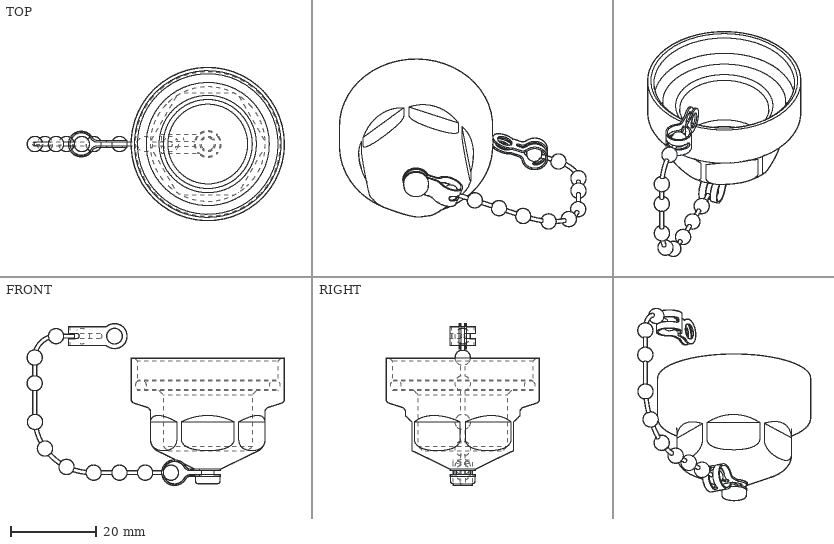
import cadquery as cq
import math


CAP_TOP = 26.0
FLANGE_RADIUS = 18.0
FLANGE_EDGE_Z = 15.65
BODY_RADIUS = 13.45
NECK_Z = 14.2
FLANGE_FILLET = 0.95
TIP_RADIUS = 3.15
CONE_ANGLE = 26
CONE_TOP_Z = (BODY_RADIUS - TIP_RADIUS) * math.tan(math.radians(CONE_ANGLE))
CONE_FILLET = 3

FLAT_COUNT = 6
FLAT_DISTANCE = 11.95
FLAT_TOP_Z = 11.05
FLAT_CUT_CLEARANCE = 0.6

MOUTH_RADIUS = 16.5
MOUTH_CHAMFER = 0.7
SEAT_Z = 18.35
BORE_RADIUS = 10.45
BORE_CHAMFER = 0.95
BORE_FLOOR_Z = 4.2
FLOOR_CHAMFER = 1.1

GASKET_RING_RADIUS = 15.7
GASKET_WIRE_RADIUS = 1.25

STRIP_THICKNESS = 0.4
STRIP_WIDTH = 4.45
LOOP_RADIUS = 3
LEG_GAP = 0.9
BEND_RADIUS = 1.5
LOOP_TO_EYE = 7.8
EYE_RADIUS = 2.95
EYE_HOLE_RADIUS = 1.8
SLOT_WIDTH = 1.2
SLOT_SHORT_END = -0.5
SLOT_LONG_END = 4.85
CLAMP_HEIGHT = LEG_GAP + 2 * STRIP_THICKNESS

RIVET_SHANK_RADIUS = 1.5
RIVET_HEAD_RADIUS = 2.9
RIVET_HEAD_HEIGHT = 1.75
RIVET_HEAD_FILLET = 0.6

BALL_RADIUS = 1.8
BALL_PITCH = 6.05
WIRE_RADIUS = 0.5
CHAIN_LEFT_X = -40.6
CHAIN_BOTTOM_Z = -CLAMP_HEIGHT / 2
CHAIN_TOP_Z = 31.15
LOWER_END_X = -8.65
LOWER_ROW_BALLS = 4
LOWER_BEND_RADIUS = 13.3
UPPER_BEND_RADIUS = 5.0
LOWER_BEND_BALLS = 3
LOWER_BEND_FIRST_ANGLE = 6
LOWER_BEND_STEP_ANGLE = 29
UPPER_CLAMP_EYE_X = -21.85


HEIGHT_TOLERANCE = 0.005


def fillet_ring(body, z, radius):
    """Round the circular edges of a revolved body that lie at height z."""
    ring = [edge for edge in body.Edges() if abs(edge.Center().z - z) < HEIGHT_TOLERANCE]
    return body.fillet(radius, ring)


def make_cap_outside():
    outline = [
        (0, 0),
        (TIP_RADIUS, 0),
        (BODY_RADIUS, CONE_TOP_Z),
        (BODY_RADIUS, NECK_Z),
        (FLANGE_RADIUS, FLANGE_EDGE_Z),
        (FLANGE_RADIUS, CAP_TOP),
        (0, CAP_TOP),
    ]
    body = cq.Workplane("XZ").polyline(outline).close().revolve(360, (0, 0), (0, 1)).val()
    body = fillet_ring(body, CONE_TOP_Z, CONE_FILLET)
    body = fillet_ring(body, NECK_Z, FLANGE_FILLET)
    return cq.Workplane(fillet_ring(body, FLANGE_EDGE_Z, FLANGE_FILLET))


def make_cap_inside():
    """The stepped space inside the cap."""
    outline = [
        (0, BORE_FLOOR_Z),
        (BORE_RADIUS - FLOOR_CHAMFER, BORE_FLOOR_Z),
        (BORE_RADIUS, BORE_FLOOR_Z + FLOOR_CHAMFER),
        (BORE_RADIUS, SEAT_Z - BORE_CHAMFER),
        (BORE_RADIUS + BORE_CHAMFER, SEAT_Z),
        (MOUTH_RADIUS, SEAT_Z),
        (MOUTH_RADIUS, CAP_TOP - MOUTH_CHAMFER),
        (MOUTH_RADIUS + MOUTH_CHAMFER, CAP_TOP),
        (0, CAP_TOP),
    ]
    return cq.Workplane("XZ").polyline(outline).close().revolve(360, (0, 0), (0, 1))


def make_flat_cutter():
    """Removes everything outside one flat, the one that faces -Y."""
    depth = BODY_RADIUS - FLAT_DISTANCE + FLAT_CUT_CLEARANCE
    outline = [
        (-FLAT_DISTANCE, 0),
        (-FLAT_DISTANCE, FLAT_TOP_Z),
        (-FLAT_DISTANCE - depth, FLAT_TOP_Z + depth),
        (-FLAT_DISTANCE - depth, 0),
    ]
    return cq.Workplane("YZ").polyline(outline).close().extrude(BODY_RADIUS, both=True)


def make_gasket():
    return (
        cq.Workplane("XZ")
        .center(GASKET_RING_RADIUS, SEAT_Z + GASKET_WIRE_RADIUS)
        .circle(GASKET_WIRE_RADIUS)
        .revolve(360, (-GASKET_RING_RADIUS, 0), (-GASKET_RING_RADIUS, 1))
    )


def make_cap(gasket, clamp):
    """The gasket bulges into the mouth wall and the clamp loop nests into the cone."""
    cap = make_cap_outside().cut(make_cap_inside())
    for index in range(FLAT_COUNT):
        cap = cap.cut(make_flat_cutter().rotate((0, 0, 0), (0, 0, 1), index * 360 / FLAT_COUNT))
    return cap.cut(gasket).cut(clamp)


def clamp_fill(inset):
    """Area inside the strip outline, moved inward by inset; loop centre at the origin, legs to +X."""
    loop = LOOP_RADIUS - inset
    leg_y = CLAMP_HEIGHT / 2 - inset
    bend = BEND_RADIUS - STRIP_THICKNESS / 2 + inset
    bend_y = leg_y + bend
    bend_x = math.sqrt((loop + bend) ** 2 - bend_y**2)
    bend_angle = math.atan2(bend_y, bend_x)
    join_x = loop * math.cos(bend_angle)
    join_y = loop * math.sin(bend_angle)
    middle_angle = (bend_angle + math.pi + 1.5 * math.pi) / 2
    middle_x = bend_x + bend * math.cos(middle_angle)
    middle_y = bend_y + bend * math.sin(middle_angle)
    end_x = LOOP_TO_EYE + EYE_RADIUS
    return (
        cq.Workplane("XY")
        .moveTo(end_x, leg_y)
        .lineTo(bend_x, leg_y)
        .threePointArc((middle_x, middle_y), (join_x, join_y))
        .threePointArc((-loop, 0), (join_x, -join_y))
        .threePointArc((middle_x, -middle_y), (bend_x, -leg_y))
        .lineTo(end_x, -leg_y)
        .close()
        .extrude(EYE_RADIUS, both=True)
    )


def make_slot(end_x, side_y):
    """Wire slot through the half of the loop between Y = 0 and side_y."""
    length = 2 * (LOOP_RADIUS + end_x)
    outline = cq.Workplane("XZ").center(end_x - length / 2, 0).slot2D(length, SLOT_WIDTH)
    return outline.extrude(-side_y)


def make_clamp():
    """Clamp with its eye axis on Y through the origin and its loop axis parallel to Z."""
    strip = clamp_fill(0).cut(clamp_fill(STRIP_THICKNESS))

    strap_length = LOOP_TO_EYE + LOOP_RADIUS
    strap = cq.Workplane("XZ").center(strap_length / 2 - LOOP_RADIUS, 0).rect(strap_length, STRIP_WIDTH)
    eye = cq.Workplane("XZ").center(LOOP_TO_EYE, 0)
    side = strap.extrude(LOOP_RADIUS, both=True)
    side = side.union(eye.circle(EYE_RADIUS).extrude(LOOP_RADIUS, both=True))
    side = side.cut(eye.circle(EYE_HOLE_RADIUS).extrude(LOOP_RADIUS, both=True))
    side = side.cut(make_slot(SLOT_SHORT_END, -LOOP_RADIUS)).cut(make_slot(SLOT_LONG_END, LOOP_RADIUS))
    return strip.intersect(side).translate((-LOOP_TO_EYE, 0, 0))


def make_rivet():
    shank = cq.Workplane("XY").circle(RIVET_SHANK_RADIUS).extrude(-CLAMP_HEIGHT)
    head = (
        cq.Workplane("XY", origin=(0, 0, -CLAMP_HEIGHT))
        .circle(RIVET_HEAD_RADIUS)
        .extrude(-RIVET_HEAD_HEIGHT)
        .faces("<Z")
        .edges()
        .fillet(RIVET_HEAD_FILLET)
    )
    return shank.union(head)


def make_chain():
    lower_bend = (CHAIN_LEFT_X + LOWER_BEND_RADIUS, CHAIN_BOTTOM_Z + LOWER_BEND_RADIUS)
    upper_bend = (CHAIN_LEFT_X + UPPER_BEND_RADIUS, CHAIN_TOP_Z - UPPER_BEND_RADIUS)
    upper_end_x = upper_bend[0] + BALL_PITCH
    diagonal = math.sqrt(0.5)

    path = (
        cq.Workplane("XZ")
        .moveTo(LOWER_END_X, CHAIN_BOTTOM_Z)
        .lineTo(lower_bend[0], CHAIN_BOTTOM_Z)
        .threePointArc(
            (lower_bend[0] - LOWER_BEND_RADIUS * diagonal, lower_bend[1] - LOWER_BEND_RADIUS * diagonal),
            (CHAIN_LEFT_X, lower_bend[1]),
        )
        .lineTo(CHAIN_LEFT_X, upper_bend[1])
        .threePointArc(
            (upper_bend[0] - UPPER_BEND_RADIUS * diagonal, upper_bend[1] + UPPER_BEND_RADIUS * diagonal),
            (upper_bend[0], CHAIN_TOP_Z),
        )
        .lineTo(upper_end_x, CHAIN_TOP_Z)
    )
    chain = cq.Workplane("YZ", origin=(LOWER_END_X, 0, CHAIN_BOTTOM_Z)).circle(WIRE_RADIUS).sweep(path)

    centers = [(LOWER_END_X - index * BALL_PITCH, CHAIN_BOTTOM_Z) for index in range(LOWER_ROW_BALLS)]
    for index in range(LOWER_BEND_BALLS):
        angle = math.radians(LOWER_BEND_FIRST_ANGLE + index * LOWER_BEND_STEP_ANGLE)
        x = lower_bend[0] - LOWER_BEND_RADIUS * math.cos(angle)
        z = lower_bend[1] - LOWER_BEND_RADIUS * math.sin(angle)
        centers.append((x, z))
    centers.append((CHAIN_LEFT_X, upper_bend[1] - BALL_PITCH))
    centers.append((CHAIN_LEFT_X, upper_bend[1]))
    centers.append((upper_bend[0], CHAIN_TOP_Z))
    centers.append((upper_end_x, CHAIN_TOP_Z))

    for x, z in centers:
        chain = chain.union(cq.Workplane("XY").sphere(BALL_RADIUS).translate((x, 0, z)))
    return chain


gasket = make_gasket()

lower_clamp = make_clamp().rotate((0, 0, 0), (1, 0, 0), 90).translate((0, 0, -CLAMP_HEIGHT / 2))
upper_clamp = make_clamp().translate((UPPER_CLAMP_EYE_X, 0, CHAIN_TOP_Z))
clamps = [lower_clamp, upper_clamp]

cap = make_cap(gasket, lower_clamp)
rivet = make_rivet()
chain = make_chain()

result = cq.Compound.makeCompound(
    [cap.val(), gasket.val(), rivet.val(), chain.val(), *[clamp.val() for clamp in clamps]]
)